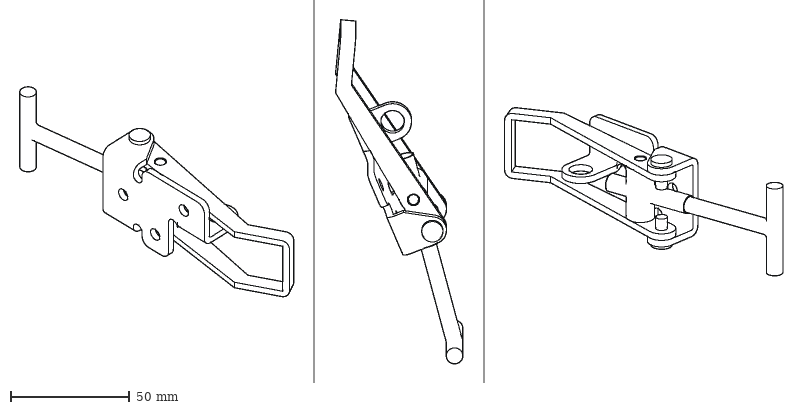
import cadquery as cq
import math


sheet = 3.0
bend_inner = 1.0
bend_outer = bend_inner + sheet

pivot_radius = 6.0

base_y = -16.1
bend_top_y = base_y + bend_outer
ear_right_x = 12.0
ear_corner_y = -8.3
channel_half_width = 18.0
flat_half_width = channel_half_width - bend_outer
slot_radius = 2.5
plate_left_x = ear_right_x + 2 * slot_radius
plate_half_height = 40.1 / 2
plate_corner_radius = 4.0
lower_right_x = 32.9
hole_diameter = 5.4
hole_places = [(6.0, 0), (25.0, -11.0), (41.9, 11.1)]
ring_width = 16.1
ring_x = 46.1
ring_top_y = 8.9
ring_hole_diameter = 9.9
ring_y = ring_top_y - ring_width / 2
tab_left_x = ring_x - ring_width / 2
tab_right_x = ring_x + ring_width / 2
tab_bend_z = bend_outer - sheet / 2

lever_half_width = channel_half_width - sheet
lever_inner_half = lever_half_width - sheet
upper_bend = (71.5, -7.5)
lower_bend = (70.9, -15.0)
grip_angle = math.radians(27.6)
grip_length = 20.3
grip_corner_radius = 3.6

rivet_diameter = 5.0
rivet_head_diameter = 9.0
rivet_head_height = 1.8
rivet_stub = 5.3

swivel_x = 14.7
swivel_y = -2.5
barrel_diameter = 12.0
trunnion_diameter = 4.4
trunnion_hole_diameter = 5.1
trunnion_recess = 0.3
sleeve_diameter = 8.0
sleeve_front = 25.1
sleeve_back = 15.3
sleeve_fillet = 1.0

rod_diameter = 6.9
handle_diameter = 7.0
handle_length = 2 * plate_half_height
handle_x = -54.2
handle_y = -12.2
handle_fillet = 1.5
rod_tilt = math.atan2(swivel_y - handle_y, swivel_x - handle_x)
handle_to_swivel = math.hypot(swivel_x - handle_x, swivel_y - handle_y)


def tangent_point(point, radius, side):
    """Touch point on a circle about the origin; side +1 turns counter-clockwise from the point."""
    distance = math.hypot(*point)
    angle = math.atan2(point[1], point[0]) + side * math.acos(radius / distance)
    return (radius * math.cos(angle), radius * math.sin(angle))


def cylinder_z(x, y, diameter, z_low, z_high):
    return cq.Workplane("XY", origin=(x, y, z_low)).circle(diameter / 2).extrude(z_high - z_low)


def along_rod(diameter, start, end):
    """Cylinder on the tilted rod axis; distances are measured from the swivel axis."""
    direction = cq.Vector(math.cos(rod_tilt), math.sin(rod_tilt), 0)
    origin = cq.Vector(swivel_x, swivel_y, 0) + direction * start
    plane = cq.Plane(origin=origin, xDir=(0, 0, 1), normal=direction)
    return cq.Workplane(plane).circle(diameter / 2).extrude(end - start)


def blend_joint(body, x, y, diameter, radius):
    """Fillet the curve where a tilted cylinder leaves an upright one of the given place and diameter."""
    reach = diameter / 2
    near_joint = cq.selectors.BoxSelector((x - reach, y - reach, -reach), (x + reach, y + reach, reach))
    return body.edges(near_joint).edges("not(#Z or |Z)").fillet(radius)


def make_channel():
    """U-shaped part of the bracket, with its ears cut to a rounded, sloping outline."""
    length = ear_right_x + pivot_radius
    height = pivot_radius - base_y
    outer = (
        cq.Workplane("XY")
        .box(length, height, 2 * channel_half_width, centered=(False, False, True))
        .edges("|X and <Y").fillet(bend_outer)
    )
    inner = (
        cq.Workplane("XY", origin=(0, sheet, 0))
        .box(length, height, 2 * lever_half_width, centered=(False, False, True))
        .edges("|X and <Y").fillet(bend_inner)
    )
    channel = outer.cut(inner).translate((-pivot_radius, base_y, 0))
    corner = (ear_right_x, ear_corner_y)
    outline = (
        cq.Workplane("XY", origin=(0, 0, -channel_half_width))
        .moveTo(-pivot_radius, base_y)
        .lineTo(ear_right_x, base_y)
        .lineTo(*corner)
        .lineTo(*tangent_point(corner, pivot_radius, 1))
        .threePointArc((0, pivot_radius), (-pivot_radius, 0))
        .close()
        .extrude(2 * channel_half_width)
    )
    return channel.intersect(outline)


def make_base_plate():
    """Flat plate with two slots beside the ears and a relief notch beside the ring tab."""
    slot_x = ear_right_x + slot_radius
    slot_end_z = flat_half_width - slot_radius
    relief_radius = (tab_left_x - lower_right_x) / 2
    relief_z = tab_bend_z - relief_radius
    plate = (
        cq.Workplane("XZ", origin=(0, base_y, 0))
        .moveTo(-pivot_radius, -flat_half_width)
        .lineTo(ear_right_x, -flat_half_width)
        .threePointArc((slot_x, -slot_end_z), (plate_left_x, -flat_half_width))
        .lineTo(plate_left_x, -plate_half_height)
        .lineTo(lower_right_x, -plate_half_height)
        .lineTo(lower_right_x, relief_z)
        .threePointArc((lower_right_x + relief_radius, tab_bend_z), (tab_left_x, relief_z))
        .lineTo(tab_left_x, tab_bend_z)
        .lineTo(tab_right_x, tab_bend_z)
        .lineTo(tab_right_x, plate_half_height)
        .lineTo(plate_left_x, plate_half_height)
        .lineTo(plate_left_x, flat_half_width)
        .threePointArc((slot_x, slot_end_z), (ear_right_x, flat_half_width))
        .lineTo(-pivot_radius, flat_half_width)
        .close()
        .extrude(-sheet)
    )
    return plate.edges("|Y and (>Z or <Z)").fillet(plate_corner_radius)


def make_ring_tab():
    """Tab bent up from the plate, ending in a ring centred on Z = 0."""
    diagonal = math.sqrt(0.5)
    bend = (
        cq.Workplane("YZ", origin=(tab_left_x, 0, 0))
        .moveTo(base_y, tab_bend_z)
        .threePointArc(
            (bend_top_y - bend_outer * diagonal, tab_bend_z - bend_outer * diagonal),
            (bend_top_y, -sheet / 2),
        )
        .lineTo(bend_top_y, sheet / 2)
        .threePointArc(
            (bend_top_y - bend_inner * diagonal, tab_bend_z - bend_inner * diagonal),
            (base_y + sheet, tab_bend_z),
        )
        .close()
        .extrude(ring_width)
    )
    ring = (
        cq.Workplane("XY", origin=(0, 0, -sheet / 2))
        .moveTo(tab_left_x, bend_top_y)
        .lineTo(tab_right_x, bend_top_y)
        .lineTo(tab_right_x, ring_y)
        .threePointArc((ring_x, ring_top_y), (tab_left_x, ring_y))
        .close()
        .extrude(sheet)
    )
    hole = cylinder_z(ring_x, ring_y, ring_hole_diameter, -sheet, sheet)
    return bend.union(ring).cut(hole)


def rivet_hole_cutter():
    return cylinder_z(0, 0, rivet_diameter, -channel_half_width, channel_half_width)


def screw_hole_cutter():
    return (
        cq.Workplane("XZ", origin=(0, base_y, 0))
        .pushPoints(hole_places)
        .circle(hole_diameter / 2)
        .extrude(-sheet)
    )


def make_bracket():
    bracket = make_base_plate().union(make_channel()).union(make_ring_tab())
    return bracket.cut(screw_hole_cutter()).cut(rivet_hole_cutter())


def make_lever():
    """Two tapering arms joined by a crossbar at the tip of the bent grip."""
    along = (math.cos(grip_angle), math.sin(grip_angle))
    across = (math.sin(grip_angle), -math.cos(grip_angle))
    bend_step = (lower_bend[0] - upper_bend[0], lower_bend[1] - upper_bend[1])
    grip_width = bend_step[0] * across[0] + bend_step[1] * across[1]
    upper_tip = (upper_bend[0] + grip_length * along[0], upper_bend[1] + grip_length * along[1])
    lower_tip = (upper_tip[0] + grip_width * across[0], upper_tip[1] + grip_width * across[1])
    lever = (
        cq.Workplane("XY", origin=(0, 0, -lever_half_width))
        .moveTo(*tangent_point(upper_bend, pivot_radius, 1))
        .threePointArc((-pivot_radius, 0), tangent_point(lower_bend, pivot_radius, -1))
        .lineTo(*lower_bend)
        .lineTo(*lower_tip)
        .lineTo(*upper_tip)
        .lineTo(*upper_bend)
        .close()
        .extrude(2 * lever_half_width)
    )
    tip_direction = cq.Vector(along[0], along[1], 0)
    crossbar_plane = cq.Plane(
        origin=cq.Vector(*upper_tip, 0) - tip_direction * sheet,
        xDir=(0, 0, 1),
        normal=tip_direction * -1,
    )
    tip_corners = cq.selectors.ParallelDirSelector(cq.Vector(across[0], across[1], 0))
    gap_depth = upper_tip[0] + 2 * pivot_radius
    gap = (
        cq.Workplane(crossbar_plane)
        .rect(2 * lever_inner_half, 2 * gap_depth)
        .extrude(2 * gap_depth)
    )
    lever = lever.edges(tip_corners).fillet(grip_corner_radius).cut(gap)
    trunnion_holes = cylinder_z(
        swivel_x, swivel_y, trunnion_hole_diameter, -lever_half_width, lever_half_width
    )
    return lever.cut(trunnion_holes).cut(rivet_hole_cutter())


def make_rivet(side):
    """Headed rivet through one ear and one lever arm; side +1 is the upper one, -1 the lower one."""
    head_top = channel_half_width + rivet_head_height
    head = cylinder_z(0, 0, rivet_head_diameter, channel_half_width, head_top)
    shank = cylinder_z(0, 0, rivet_diameter, lever_inner_half - rivet_stub, channel_half_width)
    rivet = head.union(shank)
    return rivet if side > 0 else rivet.mirror("XY")


def make_swivel():
    """Barrel between the lever arms, pivoting on trunnions, with the sleeve that holds the rod."""
    barrel = cylinder_z(swivel_x, swivel_y, barrel_diameter, -lever_inner_half, lever_inner_half)
    sleeve = along_rod(sleeve_diameter, -sleeve_front, sleeve_back)
    swivel = barrel.union(sleeve)
    swivel = blend_joint(swivel, swivel_x, swivel_y, barrel_diameter, sleeve_fillet)
    trunnion_end = lever_half_width - trunnion_recess
    trunnions = cylinder_z(swivel_x, swivel_y, trunnion_diameter, -trunnion_end, trunnion_end)
    bore = along_rod(rod_diameter, -sleeve_front, sleeve_back)
    return swivel.union(trunnions).cut(bore)


def make_t_rod():
    """Rod ending flush with the back of the sleeve, blended into a cross handle."""
    handle = cylinder_z(handle_x, handle_y, handle_diameter, -handle_length / 2, handle_length / 2)
    rod = along_rod(rod_diameter, -handle_to_swivel, sleeve_back)
    t_rod = handle.union(rod)
    return blend_joint(t_rod, handle_x, handle_y, handle_diameter, handle_fillet)


bracket = make_bracket()
lever = make_lever()
rivets = [make_rivet(side) for side in (1, -1)]
swivel = make_swivel()
t_rod = make_t_rod()

bodies = [bracket, lever, *rivets, swivel, t_rod]
result = cq.Compound.makeCompound([body.solids().val() for body in bodies])